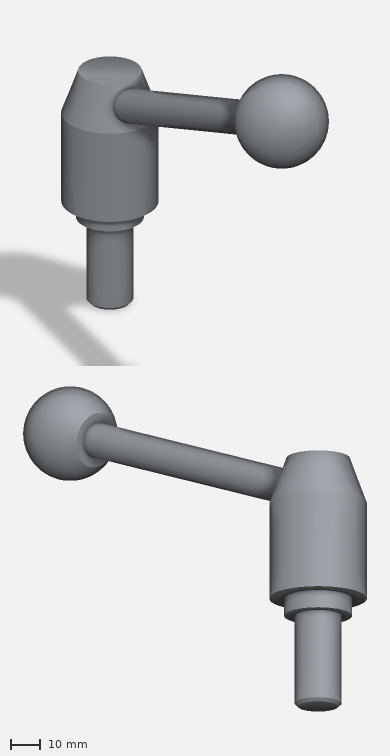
import cadquery as cq
import math

stud_diameter = 16.0
stud_length = 31.7
stud_chamfer = 1.2
collar_diameter = 23.0
collar_height = 6.0
body_diameter = 33.0
body_height = 33.2
cone_top_diameter = 21.5
cone_height = 15.8

overall_length = 147.6
overall_height = 132.0
rod_diameter = 12.0
rod_angle = 20.0
ball_diameter = 32.0
flat_distance = 13.0

ball_radius = ball_diameter / 2
ball_x = overall_length - body_diameter / 2 - ball_radius
ball_z = overall_height - stud_length - ball_radius
rod_direction = cq.Vector(
    math.cos(math.radians(rod_angle)), 0, math.sin(math.radians(rod_angle))
)
ball_center = cq.Vector(ball_x, 0, ball_z)


def make_hub():
    """Stud, collar, cylindrical body and tapered top as one revolved profile."""
    stud_radius = stud_diameter / 2
    collar_radius = collar_diameter / 2
    body_radius = body_diameter / 2
    body_top = collar_height + body_height
    profile = [
        (0, -stud_length),
        (stud_radius - stud_chamfer, -stud_length),
        (stud_radius, -stud_length + stud_chamfer),
        (stud_radius, 0),
        (collar_radius, 0),
        (collar_radius, collar_height),
        (body_radius, collar_height),
        (body_radius, body_top),
        (cone_top_diameter / 2, body_top + cone_height),
        (0, body_top + cone_height),
    ]
    return cq.Workplane("XZ").polyline(profile).close().revolve(360, (0, 0), (0, 1))


def make_rod():
    """Inclined rod from the hub axis to the centre of the ball."""
    length = ball_x / rod_direction.x
    start = ball_center - rod_direction * length
    rod = cq.Solid.makeCylinder(rod_diameter / 2, length, start, rod_direction)
    return cq.Workplane(rod)


def make_knob():
    """Ball with a flat perpendicular to the rod."""
    flat_center = ball_center - rod_direction * flat_distance
    kept_region = cq.Solid.makeCylinder(
        ball_diameter, 2 * ball_diameter, flat_center, rod_direction
    )
    ball = cq.Workplane("XY").sphere(ball_radius).translate(ball_center)
    return ball.intersect(cq.Workplane(kept_region))


result = make_hub().union(make_rod()).union(make_knob())